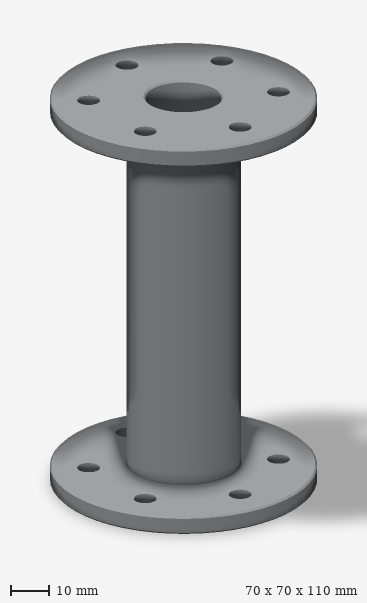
import cadquery as cq

spool_length = 110.0
flange_diameter = 70.0
flange_thickness = 5.0
tube_diameter = 30.0
bore_diameter = 20.0

bolt_hole_count = 6
bolt_hole_diameter = 6.0
bolt_circle_diameter = 50.0

edge_chamfer = 0.5
root_fillet = 0.5

selection_margin = 1.0


def make_spool_body():
    """Tube along Z with a flange at each end, centred on the origin."""
    flange = cq.Workplane("XY").circle(flange_diameter / 2).extrude(flange_thickness)
    flange = flange.edges().chamfer(edge_chamfer)
    tube = cq.Workplane("XY").circle(tube_diameter / 2).extrude(spool_length)
    top_flange = flange.translate((0, 0, spool_length - flange_thickness))
    body = tube.union(flange).union(top_flange)
    return body.translate((0, 0, -spool_length / 2))


def round_tube_roots(body):
    """Fillet the inside corners where the tube meets the flanges."""
    tube_radius = tube_diameter / 2
    selection_reach = tube_radius + selection_margin
    root_height = spool_length / 2 - flange_thickness
    for z in (-root_height, root_height):
        root_box = cq.selectors.BoxSelector(
            (-selection_reach, -selection_reach, z - selection_margin),
            (selection_reach, selection_reach, z + selection_margin),
            boundingbox=True,
        )
        body = body.edges("%CIRCLE").edges(root_box).fillet(root_fillet)
    return body


def cut_bore(body):
    """Through bore with a chamfered mouth at both ends."""
    bore = cq.Workplane("XY").circle(bore_diameter / 2).extrude(spool_length / 2, both=True)
    body = body.cut(bore)
    mouths = cq.selectors.RadiusNthSelector(0)
    return body.faces("<Z or >Z").edges(mouths).chamfer(edge_chamfer)


def cut_bolt_holes(body):
    """Bolt holes through both flanges, the first one on the X axis."""
    drills = (
        cq.Workplane("XY")
        .polarArray(bolt_circle_diameter / 2, 0, 360, bolt_hole_count)
        .circle(bolt_hole_diameter / 2)
        .extrude(spool_length / 2, both=True)
    )
    return body.cut(drills)


spool = make_spool_body()
spool = round_tube_roots(spool)
spool = cut_bore(spool)
result = cut_bolt_holes(spool)